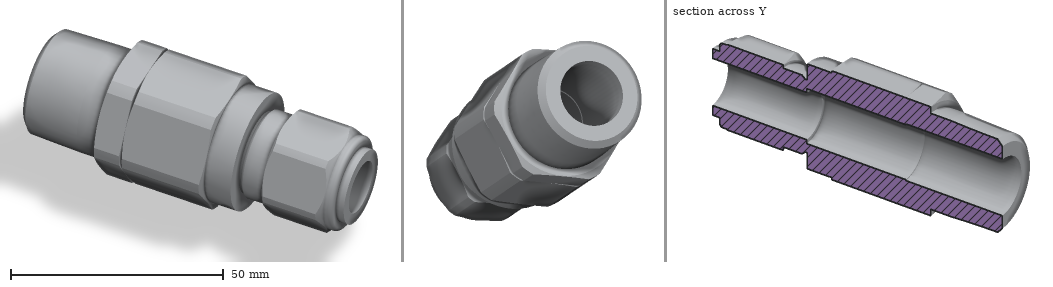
import cadquery as cq
import math


LENGTH = 82.55
THREAD_TAPER_END = 14.95
LOCK_HEX_START = 20.4
LOCK_HEX_END = 27.5
BODY_HEX_END = 48.7
BODY_COLLAR_END = 55.6
OUTLET_START = 56.1
NUT_START = 62.3
NUT_HEX_END = 78.4
NUT_END = 80.5

THREAD_NOSE_RADIUS = 13.05
THREAD_BASE_RADIUS = 13.45
THREAD_CHAMFER_LENGTH = 1.4
THREAD_CHAMFER_DEPTH = 1.6

BODY_HEX_ACROSS_FLATS = 30.5
BODY_HEX_FLAT_RADIUS = BODY_HEX_ACROSS_FLATS / 2
BODY_HEX_CORNER_RADIUS = 16.75
BODY_HEX_CHAMFER_RADIUS = 15.1
NUT_HEX_FLAT_RADIUS = 12.0
NUT_HEX_CORNER_RADIUS = 13.3
NUT_START_CHAMFER_RADIUS = 11.8
HEX_TWIST_DEGREES = 1.7
LOCK_HEX_CHAMFER_LENGTH = 0.6
BODY_HEX_CHAMFER_LENGTH = 0.75
BODY_HEX_END_CHAMFER_LENGTH = 0.4
NUT_START_CHAMFER_LENGTH = 1.0
NUT_END_CHAMFER_LENGTH = 1.4

BODY_COLLAR_RADIUS = 14.7
BODY_NECK_RADIUS = 14.6
BODY_NECK_LENGTH = 0.4
OUTLET_NECK_RADIUS = 10.2
OUTLET_RADIUS = 11.1
OUTLET_CHAMFER_LENGTH = 0.9
NUT_COLLAR_RADIUS = 11.8
NUT_COLLAR_FILLET = 1.0
TUBE_END_RADIUS = 9.3

INLET_BORE_RADIUS = 7.85
BODY_BORE_RADIUS = 7.6
OUTLET_BORE_RADIUS = 6.5


def cylinder(start, end, radius):
    """Round bar along X."""
    return cq.Workplane("YZ", origin=(start, 0, 0)).circle(radius).extrude(end - start)


def revolve_profile(points):
    """Solid of revolution about X from (x, radius) points, closed on the axis."""
    closed = [(points[0][0], 0), *points, (points[-1][0], 0)]
    return cq.Workplane("XY").polyline(closed).close().revolve(360, (0, 0, 0), (1, 0, 0))


def hexagon(flat_radius, twist, envelope):
    """Hexagonal bar with flats facing up and down, trimmed to a round envelope of (x, radius) points."""
    start = envelope[0][0]
    end = envelope[-1][0]
    across_points = 2 * flat_radius / math.cos(math.pi / 6)
    prism = cq.Workplane("YZ", origin=(start, 0, 0)).polygon(6, across_points).extrude(end - start)
    prism = prism.rotate((0, 0, 0), (1, 0, 0), twist)
    return prism.intersect(revolve_profile(envelope))


def threaded_inlet():
    """Tapered thread blank with a chamfered nose, then a straight shank."""
    return revolve_profile([
        (0, THREAD_NOSE_RADIUS - THREAD_CHAMFER_DEPTH),
        (THREAD_CHAMFER_LENGTH, THREAD_NOSE_RADIUS),
        (THREAD_TAPER_END, THREAD_BASE_RADIUS),
        (LOCK_HEX_START, THREAD_BASE_RADIUS),
    ])


def lock_hexagon():
    """Narrow hexagon next to the thread, chamfered on its inlet side."""
    return hexagon(BODY_HEX_FLAT_RADIUS, 0, [
        (LOCK_HEX_START, BODY_HEX_CHAMFER_RADIUS),
        (LOCK_HEX_START + LOCK_HEX_CHAMFER_LENGTH, BODY_HEX_CORNER_RADIUS),
        (LOCK_HEX_END, BODY_HEX_CORNER_RADIUS),
    ])


def body():
    """Long hexagon, turned slightly from the narrow one, with its round collar."""
    hex_part = hexagon(BODY_HEX_FLAT_RADIUS, HEX_TWIST_DEGREES, [
        (LOCK_HEX_END, BODY_HEX_CHAMFER_RADIUS),
        (LOCK_HEX_END + BODY_HEX_CHAMFER_LENGTH, BODY_HEX_CORNER_RADIUS),
        (BODY_HEX_END - BODY_HEX_END_CHAMFER_LENGTH, BODY_HEX_CORNER_RADIUS),
        (BODY_HEX_END, BODY_HEX_CHAMFER_RADIUS),
    ])
    neck_end = BODY_HEX_END + BODY_NECK_LENGTH
    neck = cylinder(BODY_HEX_END, neck_end, BODY_NECK_RADIUS)
    collar = cylinder(neck_end, BODY_COLLAR_END, BODY_COLLAR_RADIUS)
    return hex_part.union(neck).union(collar)


def outlet():
    """Thin neck and chamfered round section between the body and the nut."""
    return revolve_profile([
        (BODY_COLLAR_END, OUTLET_NECK_RADIUS),
        (OUTLET_START, OUTLET_NECK_RADIUS),
        (OUTLET_START + OUTLET_CHAMFER_LENGTH, OUTLET_RADIUS),
        (NUT_START, OUTLET_RADIUS),
    ])


def nut():
    """Tube nut: twisted hexagon, rounded collar and the end of the ferrule."""
    hex_part = hexagon(NUT_HEX_FLAT_RADIUS, HEX_TWIST_DEGREES, [
        (NUT_START, NUT_START_CHAMFER_RADIUS),
        (NUT_START + NUT_START_CHAMFER_LENGTH, NUT_HEX_CORNER_RADIUS),
        (NUT_HEX_END - NUT_END_CHAMFER_LENGTH, NUT_HEX_CORNER_RADIUS),
        (NUT_HEX_END, NUT_COLLAR_RADIUS),
    ])
    collar = cylinder(NUT_HEX_END, NUT_END, NUT_COLLAR_RADIUS)
    collar = collar.faces(">X").edges().fillet(NUT_COLLAR_FILLET)
    tube_end = cylinder(NUT_END, LENGTH, TUBE_END_RADIUS)
    return hex_part.union(collar).union(tube_end)


def bore():
    """Through passage, stepped down at the body and again at the outlet."""
    return (
        cylinder(0, LOCK_HEX_END, INLET_BORE_RADIUS)
        .union(cylinder(LOCK_HEX_END, BODY_COLLAR_END, BODY_BORE_RADIUS))
        .union(cylinder(BODY_COLLAR_END, LENGTH, OUTLET_BORE_RADIUS))
    )


result = (
    threaded_inlet()
    .union(lock_hexagon())
    .union(body())
    .union(outlet())
    .union(nut())
    .cut(bore())
)